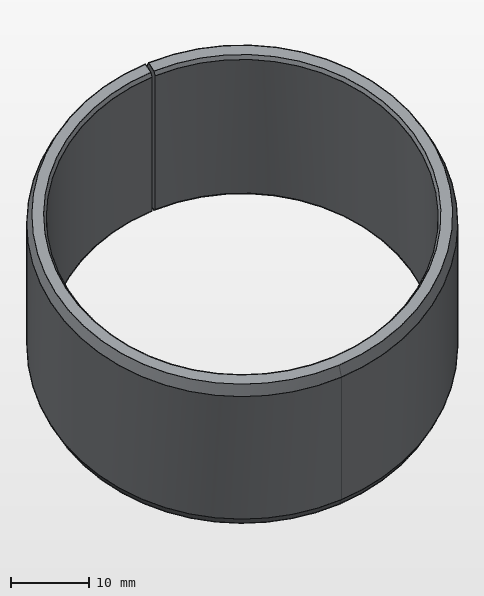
import cadquery as cq
import math

outer_diameter = 55.0
inner_diameter = 50.0
height = 30.0
outer_chamfer_height = 1.8
outer_chamfer_angle = 20.0
inner_chamfer_height = 0.6
inner_chamfer_angle = 30.0
slit_width = 0.45

outer_radius = outer_diameter / 2
inner_radius = inner_diameter / 2
half_height = height / 2
outer_chamfer_depth = outer_chamfer_height * math.tan(math.radians(outer_chamfer_angle))
inner_chamfer_depth = inner_chamfer_height * math.tan(math.radians(inner_chamfer_angle))


def make_sleeve():
    """Revolve the wall section, chamfered at both ends, about the Z axis."""
    end_outer_radius = outer_radius - outer_chamfer_depth
    end_inner_radius = inner_radius + inner_chamfer_depth
    outer_edge_z = half_height - outer_chamfer_height
    inner_edge_z = half_height - inner_chamfer_height
    section = [
        (inner_radius, -inner_edge_z),
        (end_inner_radius, -half_height),
        (end_outer_radius, -half_height),
        (outer_radius, -outer_edge_z),
        (outer_radius, outer_edge_z),
        (end_outer_radius, half_height),
        (end_inner_radius, half_height),
        (inner_radius, inner_edge_z),
    ]
    return cq.Workplane("XZ").polyline(section).close().revolve(360, (0, 0, 0), (0, 1, 0))


def make_slit():
    """Full-height cutter on the -X side, reaching from the XZ plane towards +Y."""
    cutter = cq.Workplane("XY").box(outer_radius, slit_width, height, centered=(False, False, True))
    return cutter.translate((-outer_radius, 0, 0))


result = make_sleeve().cut(make_slit())